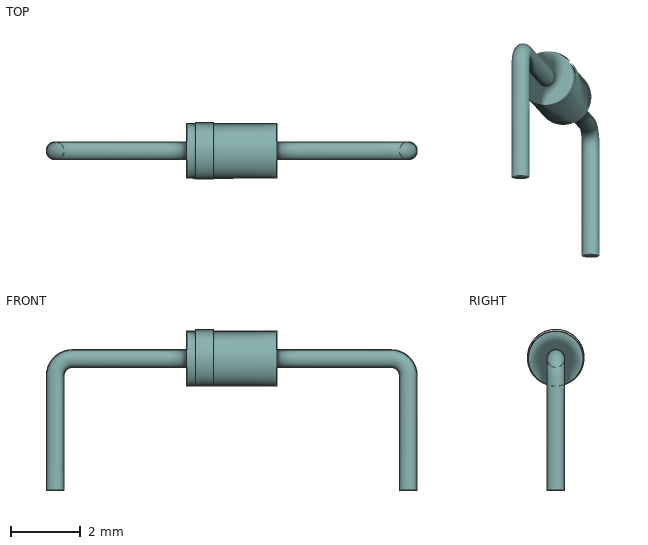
import cadquery as cq

lead_diameter = 0.51
lead_pitch = 10.16
lead_depth = 3.0
bend_radius = 0.5

body_diameter = 1.58
body_length = 2.6

band_diameter = 1.63
band_width = 0.52
band_inset = 0.25

axis_height = body_diameter / 2
body_start_x = -body_length / 2


def seated_cylinder(diameter, start_x, length):
    """Cylinder along +X from start_x, touching the seating plane."""
    plane = cq.Workplane("YZ", origin=(start_x, 0, diameter / 2))
    return plane.circle(diameter / 2).extrude(length)


def make_lead_wire():
    """One round wire: up from the -X tip, along the body axis, down to the +X tip."""
    half_pitch = lead_pitch / 2
    bend_start_z = axis_height - bend_radius
    straight_end_x = half_pitch - bend_radius
    path = (
        cq.Workplane("XZ")
        .moveTo(-half_pitch, -lead_depth)
        .lineTo(-half_pitch, bend_start_z)
        .tangentArcPoint((-straight_end_x, axis_height), relative=False)
        .lineTo(straight_end_x, axis_height)
        .tangentArcPoint((half_pitch, bend_start_z), relative=False)
        .lineTo(half_pitch, -lead_depth)
    )
    tip = cq.Workplane("XY", origin=(-half_pitch, 0, -lead_depth))
    return tip.circle(lead_diameter / 2).sweep(path)


body = seated_cylinder(body_diameter, body_start_x, body_length)
band = seated_cylinder(band_diameter, body_start_x + band_inset, band_width)

result = body.union(band).union(make_lead_wire())